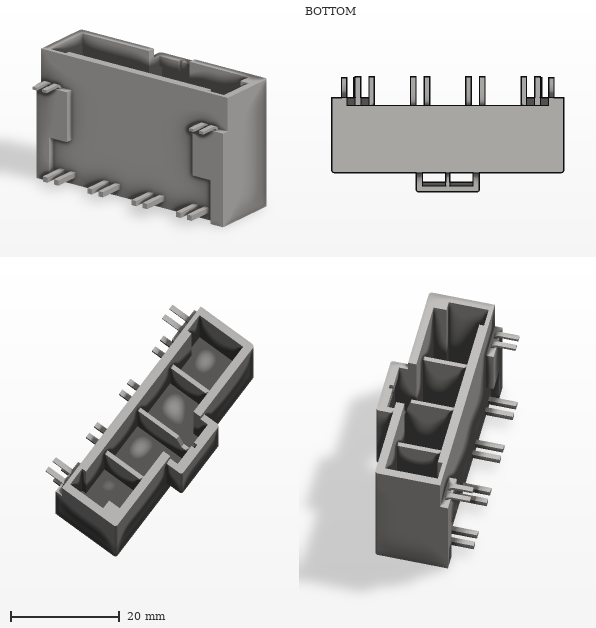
import cadquery as cq

WIDTH = 42.7
DEPTH = 12.38
HEIGHT = 25.0
HOUSING_CORNER_RADIUS = 0.55

FLOOR_Z = 6.95
SIDE_WALL = 1.45
BACK_WALL = 1.6
FRONT_WALL = 1.7
FRONT_END_WALL = 0.8
FRONT_WALL_HALF_WIDTH = 16.2
KEY_WIDTH = 1.85
KEY_DEPTH = 2.45

LATCH_WIDTH = 11.6
LATCH_REACH = 3.5
LATCH_OPENING = 9.25
LATCH_TOP_GAP = 2.0
LATCH_CORNER_RADIUS = 0.45
LATCH_WALL = 1.05
LIP_THICKNESS = 0.73
LIP_HEIGHT = 2.05

RIB_TOP_Z = 19.8
SIDE_RIB_X = 10.1
SIDE_RIB_WIDTH = 0.85
CENTRE_RIB_WIDTH = 0.75
CENTRE_RIB_LOW_Z = 15.9
SLOPE_START_Y = 10.65
SLOPE_END_Y = 11.75

PAD_THICKNESS = 1.45
PAD_TOP_Z = 18.45
PAD_STEP_Z = 8.62
PAD_UPPER_WIDTH = 6.95
PAD_LOWER_WIDTH = 2.85

PIN_SIZE = 1.02
PIN_REACH = 5.3
PIN_Z = 1.95
PIN_SPACING = 2.5
PIN_PAIR_PITCH = 10.15
PIN_PAIRS = 4

BENT_PIN_XS = (-19.05, -16.8, 16.8, 19.05)
BENT_PIN_WIDTH = 1.0
BENT_PIN_THICKNESS = 0.55
BENT_PIN_BACK_Y = -0.4
BENT_PIN_REACH = 5.12
BEND_INNER_RADIUS = 0.75
BEND_CENTRE_DROP = 0.25
BENT_PIN_ROOT = 0.43

BACK_INNER_Y = DEPTH - BACK_WALL
LATCH_BACK_Y = DEPTH + LATCH_REACH
LATCH_INNER_Y = LATCH_BACK_Y - LATCH_WALL
LATCH_TOP_Z = HEIGHT - LATCH_TOP_GAP


def block(x0, x1, y0, y1, z0, z1):
    """Box between two opposite corners."""
    return cq.Workplane("XY").box(x1 - x0, y1 - y0, z1 - z0, centered=False).translate((x0, y0, z0))


def centred_block(x, width, y0, y1, z0, z1):
    """Box centred on x."""
    return block(x - width / 2, x + width / 2, y0, y1, z0, z1)


def make_housing():
    body = centred_block(0, WIDTH, 0, DEPTH, 0, HEIGHT)
    body = body.edges("|Z and >Y").fillet(HOUSING_CORNER_RADIUS)
    cavity_half = WIDTH / 2 - SIDE_WALL
    cavity = (
        cq.Workplane("XY")
        .workplane(offset=FLOOR_Z)
        .moveTo(-cavity_half, FRONT_END_WALL)
        .lineTo(-FRONT_WALL_HALF_WIDTH, FRONT_END_WALL)
        .lineTo(-FRONT_WALL_HALF_WIDTH, FRONT_WALL)
        .lineTo(FRONT_WALL_HALF_WIDTH, FRONT_WALL)
        .lineTo(FRONT_WALL_HALF_WIDTH, FRONT_END_WALL)
        .lineTo(cavity_half, FRONT_END_WALL)
        .lineTo(cavity_half, BACK_INNER_Y - KEY_DEPTH)
        .lineTo(cavity_half - KEY_WIDTH, BACK_INNER_Y - KEY_DEPTH)
        .lineTo(cavity_half - KEY_WIDTH, BACK_INNER_Y)
        .lineTo(-cavity_half, BACK_INNER_Y)
        .close()
        .extrude(HEIGHT - FLOOR_Z)
    )
    back_opening = centred_block(0, LATCH_OPENING, BACK_INNER_Y, DEPTH, FLOOR_Z, HEIGHT)
    return body.cut(cavity).cut(back_opening)


def make_latch():
    loop = centred_block(0, LATCH_WIDTH, DEPTH, LATCH_BACK_Y, FLOOR_Z, LATCH_TOP_Z)
    loop = loop.edges("|Z and >Y").fillet(LATCH_CORNER_RADIUS)
    loop = loop.cut(centred_block(0, LATCH_OPENING, DEPTH, LATCH_INNER_Y, FLOOR_Z, LATCH_TOP_Z))
    lip_front_y = LATCH_INNER_Y - LIP_THICKNESS
    lip_bottom_z = LATCH_TOP_Z - LIP_HEIGHT
    lip = centred_block(0, LATCH_OPENING, lip_front_y, LATCH_INNER_Y, lip_bottom_z, LATCH_TOP_Z)
    gap = centred_block(0, CENTRE_RIB_WIDTH, lip_front_y, LATCH_INNER_Y, lip_bottom_z, LATCH_TOP_Z)
    return loop.union(lip.cut(gap))


def make_side_rib(x):
    return centred_block(x, SIDE_RIB_WIDTH, FRONT_WALL, BACK_INNER_Y, FLOOR_Z, RIB_TOP_Z)


def make_centre_rib():
    """Rib that slopes down at the back of the cavity and runs on to the latch wall."""
    return (
        cq.Workplane("YZ")
        .moveTo(FRONT_WALL, FLOOR_Z)
        .lineTo(LATCH_INNER_Y, FLOOR_Z)
        .lineTo(LATCH_INNER_Y, CENTRE_RIB_LOW_Z)
        .lineTo(SLOPE_END_Y, CENTRE_RIB_LOW_Z)
        .lineTo(SLOPE_START_Y, RIB_TOP_Z)
        .lineTo(FRONT_WALL, RIB_TOP_Z)
        .close()
        .extrude(CENTRE_RIB_WIDTH / 2, both=True)
    )


def make_left_pad():
    edge = -WIDTH / 2
    upper = block(edge, edge + PAD_UPPER_WIDTH, -PAD_THICKNESS, 0, PAD_STEP_Z, PAD_TOP_Z)
    lower = block(edge, edge + PAD_LOWER_WIDTH, -PAD_THICKNESS, 0, 0, PAD_STEP_Z)
    return upper.union(lower)


def make_straight_pin(x):
    return centred_block(x, PIN_SIZE, -PIN_REACH, 0, PIN_Z - PIN_SIZE / 2, PIN_Z + PIN_SIZE / 2)


def make_bent_pin(x):
    """Flat pin that leaves the pad upward and bends forward through 90 degrees."""
    outer_radius = BEND_INNER_RADIUS + BENT_PIN_THICKNESS
    bend_y = BENT_PIN_BACK_Y - outer_radius
    bend_z = PAD_TOP_Z - BEND_CENTRE_DROP
    root_z = bend_z - BENT_PIN_ROOT
    return (
        cq.Workplane("YZ")
        .moveTo(BENT_PIN_BACK_Y, root_z)
        .lineTo(BENT_PIN_BACK_Y, bend_z)
        .radiusArc((bend_y, bend_z + outer_radius), -outer_radius)
        .lineTo(-BENT_PIN_REACH, bend_z + outer_radius)
        .lineTo(-BENT_PIN_REACH, bend_z + BEND_INNER_RADIUS)
        .lineTo(bend_y, bend_z + BEND_INNER_RADIUS)
        .radiusArc((bend_y + BEND_INNER_RADIUS, bend_z), BEND_INNER_RADIUS)
        .lineTo(bend_y + BEND_INNER_RADIUS, root_z)
        .close()
        .extrude(BENT_PIN_WIDTH / 2, both=True)
        .translate((x, 0, 0))
    )


left_pad = make_left_pad()
result = make_housing().union(make_latch()).union(make_centre_rib())
result = result.union(left_pad).union(left_pad.mirror("YZ"))

for rib_x in (-SIDE_RIB_X, SIDE_RIB_X):
    result = result.union(make_side_rib(rib_x))

for pair in range(PIN_PAIRS):
    pair_x = (pair - (PIN_PAIRS - 1) / 2) * PIN_PAIR_PITCH
    for offset in (-PIN_SPACING / 2, PIN_SPACING / 2):
        result = result.union(make_straight_pin(pair_x + offset))

for pin_x in BENT_PIN_XS:
    result = result.union(make_bent_pin(pin_x))